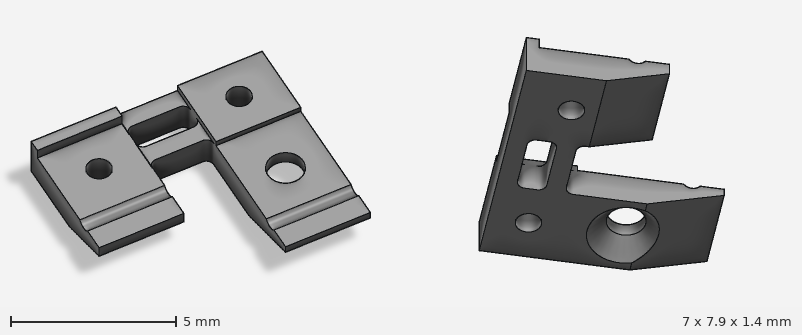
import cadquery as cq

total_width = 7.9
arm_width = 2.9
gap_width = total_width - 2 * arm_width
long_arm_length = 7.0
short_arm_length = 4.4
arm_height = 1.04

pad_length = 2.5
pad_height = 1.23
lip_length = 0.4
lip_height = 1.4

long_slope_start = 4.63
long_tip_height = 0.26
short_slope_start = 2.465
short_tip_height = 0.4

bridge_length = 2.1
bridge_height = 1.0
beam_thickness = 0.6
corner_radius = 0.25

groove_tip_distance = 0.995
groove_radius = 0.3
groove_depth = 0.135
small_hole_diameter = 0.8
large_hole_diameter = 1.2
pad_hole_x = 1.25
large_hole_x = 4.25
short_arm_hole_x = 1.65
countersink_diameter = 2.4


def make_arm(y_start, length, root_length, root_height, slope_start, tip_height):
    """Stepped arm with a tapered tip and a round groove across its top."""
    arm = (
        cq.Workplane("XZ", origin=(0, y_start, 0))
        .moveTo(0, 0)
        .lineTo(slope_start, 0)
        .lineTo(length, arm_height - tip_height)
        .lineTo(length, arm_height)
        .lineTo(root_length, arm_height)
        .lineTo(root_length, root_height)
        .lineTo(0, root_height)
        .close()
        .extrude(-arm_width)
    )
    groove = (
        cq.Workplane("XZ", origin=(0, y_start, 0))
        .center(length - groove_tip_distance, arm_height - groove_depth + groove_radius)
        .circle(groove_radius)
        .extrude(-arm_width)
    )
    return arm.cut(groove)


def make_bridge():
    """Two parallel beams around a slot, with rounds where they meet the arms."""
    bridge = cq.Workplane("XY", origin=(0, arm_width, 0)).box(
        bridge_length + corner_radius, gap_width, bridge_height, centered=False
    )
    slot_length = bridge_length - 2 * beam_thickness
    slot = (
        cq.Workplane("XY", origin=(beam_thickness, arm_width, 0))
        .box(slot_length, gap_width, bridge_height, centered=False)
        .edges("|Z")
        .fillet(corner_radius)
    )
    opening = (
        cq.Workplane("XY", origin=(bridge_length, arm_width, 0))
        .box(long_arm_length, gap_width, bridge_height, centered=False)
        .edges("|Z and <X")
        .fillet(corner_radius)
    )
    return bridge.cut(slot).cut(opening)


def make_hole(x, y, diameter):
    """Vertical cutter through the full height."""
    return cq.Workplane("XY").center(x, y).circle(diameter / 2).extrude(lip_height)


def make_countersink(x, y):
    """45 degree cone, widest at the underside, that narrows to the large hole."""
    wide_radius = countersink_diameter / 2
    narrow_radius = large_hole_diameter / 2
    depth = wide_radius - narrow_radius
    return cq.Workplane(
        cq.Solid.makeCone(wide_radius, narrow_radius, depth, pnt=cq.Vector(x, y, 0))
    )


short_arm_y = arm_width / 2
long_arm_y = total_width - arm_width / 2

short_arm = make_arm(
    0, short_arm_length, lip_length, lip_height, short_slope_start, short_tip_height
)
long_arm = make_arm(
    total_width - arm_width, long_arm_length, pad_length, pad_height, long_slope_start, long_tip_height
)

result = short_arm.union(long_arm).union(make_bridge())
for hole_x, hole_y, hole_diameter in (
    (short_arm_hole_x, short_arm_y, small_hole_diameter),
    (pad_hole_x, long_arm_y, small_hole_diameter),
    (large_hole_x, long_arm_y, large_hole_diameter),
):
    result = result.cut(make_hole(hole_x, hole_y, hole_diameter))
result = result.cut(make_countersink(large_hole_x, long_arm_y))